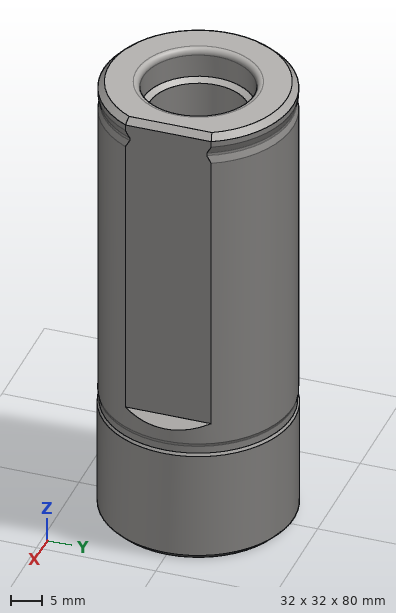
import cadquery as cq

LENGTH = 80.0
HEAD_RADIUS = 32.0 / 2
BODY_RADIUS = 31.8 / 2
RELIEF_RADIUS = 31.4 / 2
EDGE_CHAMFER = 1.0

HEAD_TOP = 19.7
RELIEF_BOTTOM = 20.2
RELIEF_TOP = 21.4
RELIEF_TAPER_TOP = 22.0

GROOVE_RADIUS = 31.1 / 2
GROOVE_START = 2.1
GROOVE_FLOOR_START = 3.4
GROOVE_FLOOR_END = 3.8
GROOVE_END = 5.1

FLAT_X = 14.2
FLAT_END_Z = 25.8
FLAT_RUNOUT_DROP = 1.6

BORE_RADIUS = 16.4 / 2
COUNTERBORE_RADIUS = 18.5 / 2
COUNTERBORE_DEPTH = 5.0
COUNTERBORE_FLOOR_DROP = 0.6
MOUTH_ROUND = 1.0


def make_body():
    """Revolved outer shape with its relief, groove and bottom chamfer."""
    profile = [
        (0, 0),
        (HEAD_RADIUS - EDGE_CHAMFER, 0),
        (HEAD_RADIUS, EDGE_CHAMFER),
        (HEAD_RADIUS, HEAD_TOP),
        (RELIEF_RADIUS, RELIEF_BOTTOM),
        (RELIEF_RADIUS, RELIEF_TOP),
        (BODY_RADIUS, RELIEF_TAPER_TOP),
        (BODY_RADIUS, LENGTH - GROOVE_END),
        (GROOVE_RADIUS, LENGTH - GROOVE_FLOOR_END),
        (GROOVE_RADIUS, LENGTH - GROOVE_FLOOR_START),
        (BODY_RADIUS, LENGTH - GROOVE_START),
        (BODY_RADIUS, LENGTH - EDGE_CHAMFER),
        (BODY_RADIUS - EDGE_CHAMFER, LENGTH),
        (0, LENGTH),
    ]
    return cq.Workplane("XZ").polyline(profile).close().revolve(360, (0, 0), (0, 1))


def make_flat_cut():
    """Material outside the flat, with its chamfered top and sloping lower end."""
    profile = [
        (FLAT_X, FLAT_END_Z),
        (FLAT_X, LENGTH - EDGE_CHAMFER),
        (FLAT_X - EDGE_CHAMFER, LENGTH),
        (HEAD_RADIUS, LENGTH),
        (HEAD_RADIUS, FLAT_END_Z - FLAT_RUNOUT_DROP),
    ]
    return cq.Workplane("XZ").polyline(profile).close().extrude(HEAD_RADIUS, both=True)


def make_bore_cut():
    """Through bore, counterbore with a conical floor, and rounded mouth."""
    profile = (
        cq.Workplane("XZ")
        .lineTo(BORE_RADIUS, 0)
        .lineTo(BORE_RADIUS, LENGTH - COUNTERBORE_DEPTH - COUNTERBORE_FLOOR_DROP)
        .lineTo(COUNTERBORE_RADIUS, LENGTH - COUNTERBORE_DEPTH)
        .lineTo(COUNTERBORE_RADIUS, LENGTH - MOUTH_ROUND)
        .radiusArc((COUNTERBORE_RADIUS + MOUTH_ROUND, LENGTH), MOUTH_ROUND)
        .lineTo(0, LENGTH)
        .close()
    )
    return profile.revolve(360, (0, 0), (0, 1))


result = make_body().cut(make_flat_cut()).cut(make_bore_cut())